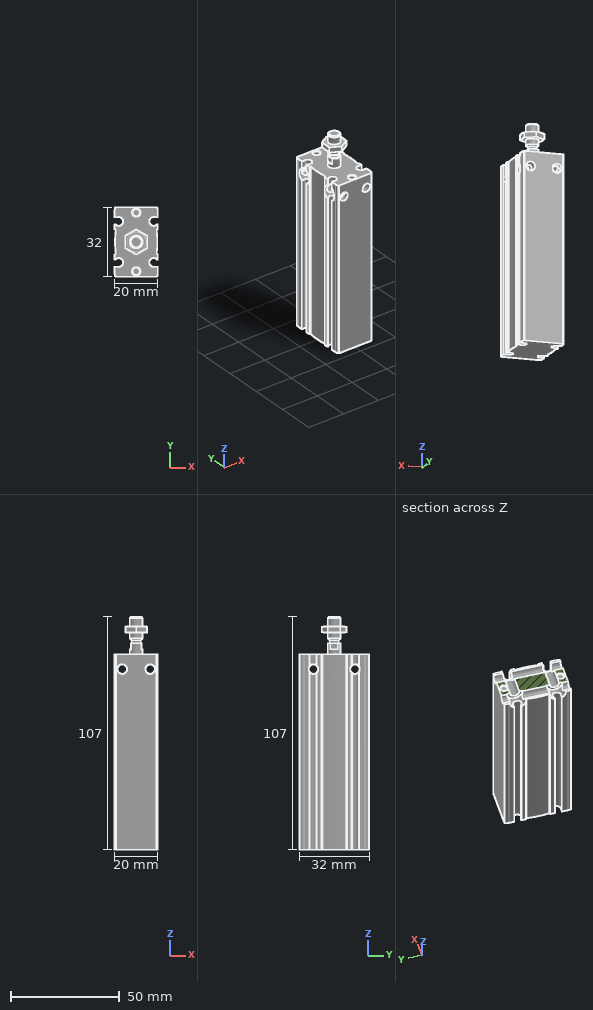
import cadquery as cq
import math

total_height = 107.0
housing_width = 20.0
housing_depth = 32.0
housing_height = 90.0
half_width = housing_width / 2
half_depth = housing_depth / 2

flank_radius = 5.4
flank_start_y = 14.0
bevel_depth = 0.2
bevel_half_end = 9.2

recess_half_mouth = 5.9
recess_half_floor = 5.5
recess_half_bulge = 5.0
recess_depth = 0.5
bulge_height = 0.3

slot_y = 9.4
slot_round_diameter = 4.0
slot_tip_depth = 4.0
slot_mouth_inner_y = 8.2
slot_mouth_outer_y = 11.3
slot_edge_chamfer = 0.3

mount_hole_diameter = 4.3
cross_hole_z = housing_height - 7.0
x_hole_y = 9.5
y_hole_x = 6.4
counterbore_diameter = 7.5
counterbore_depth = 6.0

top_hole_diameter = 3.3
top_hole_mouth_diameter = 4.0
top_hole_depth = 7.5
top_hole_y = 13.5

rod_diameter = 6.0
tip_diameter = 4.9
neck_diameter = 4.3
tip_chamfer_height = 0.5
thread_bottom_z = total_height - 9.8
neck_top_z = total_height - 10.7
shoulder_z = total_height - 12.0
flat_bottom_z = total_height - 14.9
across_flats = 4.9

nut_across_flats = 10.0
nut_height = 3.0
nut_top_z = total_height - 4.3
nut_chamfer_height = 0.3
nut_face_diameter = 8.8
nut_bottom_z = nut_top_z - nut_height


def side_recess(side):
    """Recess along one X side (side is -1 or +1), its floor bulging outwards."""
    mouth_x = side * half_width
    floor_x = side * (half_width - recess_depth)
    crown_x = side * (half_width - recess_depth + bulge_height)
    return (
        cq.Workplane("XY")
        .moveTo(mouth_x, -recess_half_mouth)
        .lineTo(floor_x, -recess_half_floor)
        .lineTo(floor_x, -recess_half_bulge)
        .threePointArc((crown_x, 0), (floor_x, recess_half_bulge))
        .lineTo(floor_x, recess_half_floor)
        .lineTo(mouth_x, recess_half_mouth)
        .close()
        .extrude(housing_height)
    )


def sensor_slot(side_x, side_y):
    """Keyhole slot: a round channel opened to the X side by a narrower mouth."""
    radius = slot_round_diameter / 2
    center_x = half_width - slot_tip_depth + radius
    channel = (
        cq.Workplane("XY")
        .center(side_x * center_x, side_y * slot_y)
        .circle(radius)
        .extrude(housing_height)
    )
    mouth = (
        cq.Workplane("XY")
        .moveTo(side_x * center_x, side_y * slot_mouth_inner_y)
        .lineTo(side_x * (half_width - slot_edge_chamfer), side_y * slot_mouth_inner_y)
        .lineTo(side_x * half_width, side_y * (slot_mouth_inner_y - slot_edge_chamfer))
        .lineTo(side_x * half_width, side_y * slot_mouth_outer_y)
        .lineTo(side_x * center_x, side_y * slot_mouth_outer_y)
        .close()
        .extrude(housing_height)
    )
    return channel.union(mouth)


def flank_x(y):
    """X of the rounded flank arc, which leaves the X side tangentially at flank_start_y."""
    return half_width - flank_radius + math.sqrt(flank_radius**2 - (y - flank_start_y) ** 2)


def housing_block():
    """Block whose long corners have a rounded flank and a bevel."""
    flank_end_y = half_depth - bevel_depth
    flank_middle_y = (flank_start_y + flank_end_y) / 2
    flank_middle = (flank_x(flank_middle_y), flank_middle_y)
    flank_end = (flank_x(flank_end_y), flank_end_y)
    quarter = (
        cq.Workplane("XY")
        .lineTo(half_width, 0)
        .lineTo(half_width, flank_start_y)
        .threePointArc(flank_middle, flank_end)
        .lineTo(bevel_half_end, half_depth)
        .lineTo(0, half_depth)
        .close()
        .extrude(housing_height)
    )
    half = quarter.union(quarter.mirror("YZ"))
    return half.union(half.mirror("XZ")).clean()


def x_mount_hole(y):
    """Through hole along X, counterbored from the -X side."""
    start = cq.Workplane("YZ", origin=(-half_width, y, cross_hole_z))
    hole = start.circle(mount_hole_diameter / 2).extrude(housing_width)
    counterbore = start.circle(counterbore_diameter / 2).extrude(counterbore_depth)
    return hole.union(counterbore)


def y_mount_hole(x):
    """Plain through hole along Y."""
    start = cq.Workplane("XZ", origin=(x, half_depth, cross_hole_z))
    return start.circle(mount_hole_diameter / 2).extrude(housing_depth)


def top_hole(y):
    """Blind hole in the top face with a 45 degree countersink."""
    radius = top_hole_diameter / 2
    mouth_radius = top_hole_mouth_diameter / 2
    bottom_z = housing_height - top_hole_depth
    countersink_z = housing_height - (mouth_radius - radius)
    profile = [
        (0, bottom_z), (radius, bottom_z), (radius, countersink_z),
        (mouth_radius, housing_height), (0, housing_height),
    ]
    hole = cq.Workplane("XZ").polyline(profile).close().revolve(360, (0, 0, 0), (0, 1, 0))
    return hole.translate((0, y, 0))


def make_housing():
    body = housing_block()
    for side in (-1, 1):
        body = body.cut(side_recess(side))
        body = body.cut(sensor_slot(side, -1)).cut(sensor_slot(side, 1))
        body = body.cut(x_mount_hole(side * x_hole_y))
        body = body.cut(y_mount_hole(side * y_hole_x))
        body = body.cut(top_hole(side * top_hole_y))
    return body


def make_rod():
    """Turned rod standing on the housing, with a neck, a tip chamfer and two wrench flats."""
    radius = rod_diameter / 2
    neck_radius = neck_diameter / 2
    profile = [
        (0, housing_height), (radius, housing_height), (radius, shoulder_z),
        (neck_radius, shoulder_z), (neck_radius, neck_top_z), (radius, thread_bottom_z),
        (radius, total_height - tip_chamfer_height), (tip_diameter / 2, total_height), (0, total_height),
    ]
    rod = cq.Workplane("XZ").polyline(profile).close().revolve(360, (0, 0, 0), (0, 1, 0))
    flat_depth = (rod_diameter - across_flats) / 2
    for side in (-1, 1):
        flat_x = side * (across_flats + flat_depth) / 2
        flat = cq.Workplane("XY", origin=(flat_x, 0, flat_bottom_z)).rect(flat_depth, rod_diameter)
        rod = rod.cut(flat.extrude(shoulder_z - flat_bottom_z))
    return rod


def make_nut():
    """Hexagon nut with flats facing X and its corners chamfered on both faces."""
    across_corners = nut_across_flats / math.cos(math.radians(30))
    corner_radius = across_corners / 2
    face_radius = nut_face_diameter / 2
    hexagon = (
        cq.Workplane("XY", origin=(0, 0, nut_bottom_z))
        .transformed(rotate=(0, 0, 30))
        .polygon(6, across_corners)
        .extrude(nut_height)
    )
    envelope_profile = [
        (0, nut_bottom_z), (face_radius, nut_bottom_z),
        (corner_radius, nut_bottom_z + nut_chamfer_height),
        (corner_radius, nut_top_z - nut_chamfer_height),
        (face_radius, nut_top_z), (0, nut_top_z),
    ]
    envelope = cq.Workplane("XZ").polyline(envelope_profile).close().revolve(360, (0, 0, 0), (0, 1, 0))
    bore = cq.Workplane("XY", origin=(0, 0, nut_bottom_z)).circle(rod_diameter / 2).extrude(nut_height)
    return hexagon.intersect(envelope).cut(bore)


housing = make_housing()
rod = make_rod()
lock_nut = make_nut()

result = cq.Compound.makeCompound([housing.val(), rod.val(), lock_nut.val()])